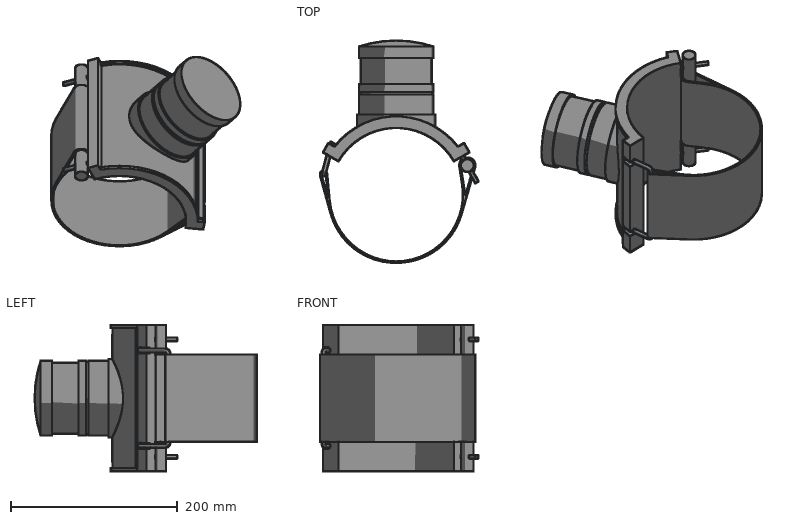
import cadquery as cq
import math

pipe_radius = 80.0
total_height = 176.0

saddle_radius = 92.0
rim_radius = 94.0
rim_height = 4.0
ear_angle = 30.0
ear_reach = 101.6
ear_thickness = 13.0
notch_height = 7.2
notch_floor = 94.2

collar_radius = 94.5 / 2
socket_radius = 90.0 / 2
neck_radius = 85.5 / 2
collar_top = 96.4
groove_center = 122.0
groove_radius = 1.5
socket_top = 132.6
cap_bottom = 164.0
cap_shoulder = 177.8
cap_peak = 185.18

strap_thickness = 2.0
strap_height = 105.0
strap_radius = pipe_radius + strap_thickness

rod_radius = 15.51 / 2
rod_along_ear = 91.4
rod_below_ear = 12.4
bolt_radius = 4.8 / 2
bolt_length = 35.6
bolt_level = 70.5

wire_radius = 5.0 / 2
wire_x = -87.147
wire_y = 24.3
wire_tilt = 14.8
wire_level = 57.3
wire_bend_radius = 4.8
bar_start = 93.4
bar_width = 6.6
bar_thickness = 3.0
bar_height = total_height - 2 * rim_height


def centered_prism(profile, height):
    """Extrude an XY profile equally above and below Z = 0."""
    return profile.extrude(height / 2, both=True)


def disc(radius, height, x=0.0, y=0.0):
    return centered_prism(cq.Workplane("XY").center(x, y).circle(radius), height)


def block_on_ear(along, across, width, thickness, height):
    """Block placed in right-ear coordinates: along the ear face, and across it."""
    block = cq.Workplane("XY").box(width, thickness, height, centered=(False, False, True))
    return block.translate((along, across, 0)).rotate((0, 0, 0), (0, 0, 1), ear_angle)


def right_ear_point(along, across):
    """XY position of a point given in right-ear coordinates."""
    angle = math.radians(ear_angle)
    x = along * math.cos(angle) - across * math.sin(angle)
    y = along * math.sin(angle) + across * math.cos(angle)
    return x, y


def polar(radius, angle):
    return radius * math.cos(angle), radius * math.sin(angle)


def arc_shell(outer_radius, height):
    """Part of a tube between the two ear faces, on the +Y side."""
    half_angle = math.radians(ear_angle)
    right_inner = polar(pipe_radius, half_angle)
    right_outer = polar(outer_radius, half_angle)
    profile = (
        cq.Workplane("XY")
        .moveTo(*right_inner)
        .lineTo(*right_outer)
        .threePointArc((0, outer_radius), (-right_outer[0], right_outer[1]))
        .lineTo(-right_inner[0], right_inner[1])
        .threePointArc((0, pipe_radius), right_inner)
        .close()
    )
    return centered_prism(profile, height)


def make_branch():
    """Solid stub turned about Y, with a round groove and a domed cap."""
    profile = (
        cq.Workplane("XY")
        .lineTo(collar_radius, 0)
        .lineTo(collar_radius, collar_top)
        .lineTo(socket_radius, collar_top)
        .lineTo(socket_radius, groove_center - groove_radius)
        .threePointArc(
            (socket_radius - groove_radius, groove_center),
            (socket_radius, groove_center + groove_radius),
        )
        .lineTo(socket_radius, socket_top)
        .lineTo(neck_radius, socket_top)
        .lineTo(neck_radius, cap_bottom)
        .lineTo(socket_radius, cap_bottom)
        .lineTo(socket_radius, cap_shoulder)
    )
    rise = cap_peak - cap_shoulder
    dome_radius = (socket_radius**2 + rise**2) / (2 * rise)
    half_way = socket_radius / 2
    half_way_y = cap_peak - dome_radius + math.sqrt(dome_radius**2 - half_way**2)
    profile = profile.threePointArc((half_way, half_way_y), (0, cap_peak)).close()
    branch = profile.revolve(360, (0, 0, 0), (0, 1, 0))
    return branch.cut(disc((pipe_radius + saddle_radius) / 2, total_height))


def make_saddle():
    saddle = arc_shell(saddle_radius, total_height)
    rim_offset = (total_height - rim_height) / 2
    for side in (-1, 1):
        rim = arc_shell(rim_radius, rim_height)
        saddle = saddle.union(rim.translate((0, 0, side * rim_offset)))

    ear_root = (pipe_radius + saddle_radius) / 2
    right_ear = block_on_ear(ear_root, 0, ear_reach - ear_root, ear_thickness, total_height)
    left_ear = right_ear.mirror("YZ")
    notch = block_on_ear(notch_floor, 0, ear_reach - notch_floor, ear_thickness, notch_height)
    for side in (-1, 1):
        left_ear = left_ear.cut(notch.mirror("YZ").translate((0, 0, side * wire_level)))
    return saddle.union(right_ear).union(left_ear).union(make_branch())


def strap_end(side, center, core_radius):
    """Points where the strap loops around a round core and leads back to itself.

    Both strands are tangent to the big pipe circle and to the loop. The end is
    worked out on the right (+X) and flipped for side = -1. Both the outline of
    the loop and the outline of the gap inside it run from the outer strand to the inner.
    """
    center_x, center_y = center[0] * side, center[1]
    distance = math.hypot(center_x, center_y)
    bearing = math.atan2(center_y, center_x)
    loop_radius = core_radius + strap_thickness
    inner_normal = bearing - math.acos((pipe_radius + loop_radius) / distance)
    outer_normal = bearing - math.acos((pipe_radius - core_radius) / distance)
    inner_side = inner_normal + math.pi
    loop_top = (outer_normal + inner_side) / 2

    def around_pipe(radius, angle):
        x, y = polar(radius, angle)
        return side * x, y

    def around_core(radius):
        arc = []
        for angle in (outer_normal, loop_top, inner_side):
            x, y = polar(radius, angle)
            arc.append((side * (center_x + x), center_y + y))
        return arc

    loop_outline = [
        around_pipe(strap_radius, outer_normal),
        *around_core(loop_radius),
        around_pipe(pipe_radius, inner_normal),
    ]
    spread = inner_normal - outer_normal
    corner_drop = (pipe_radius - strap_radius * math.cos(spread)) / math.sin(spread)
    corner_angle = inner_normal - math.atan(corner_drop / strap_radius)
    corner = around_pipe(math.hypot(strap_radius, corner_drop), corner_angle)
    gap_outline = [corner, *around_core(core_radius)]
    return loop_outline, gap_outline


def make_gap(gap_outline):
    """Wedge-shaped opening inside a strap end."""
    corner, outer_tip, top, inner_tip = gap_outline
    profile = cq.Workplane("XY").moveTo(*corner).lineTo(*outer_tip).threePointArc(top, inner_tip).close()
    return centered_prism(profile, strap_height)


def make_strap():
    rod_center = right_ear_point(rod_along_ear, -rod_below_ear)
    right_loop, right_gap = strap_end(1, rod_center, rod_radius)
    left_loop, left_gap = strap_end(-1, (wire_x, wire_y), wire_radius)
    right_outer_root, right_outer_tip, right_top, right_inner_tip, right_inner_root = right_loop
    left_outer_root, left_outer_tip, left_top, left_inner_tip, left_inner_root = left_loop
    profile = (
        cq.Workplane("XY")
        .moveTo(*left_outer_root)
        .threePointArc((0, -strap_radius), right_outer_root)
        .lineTo(*right_outer_tip)
        .threePointArc(right_top, right_inner_tip)
        .lineTo(*right_inner_root)
        .threePointArc((0, -pipe_radius), left_inner_root)
        .lineTo(*left_inner_tip)
        .threePointArc(left_top, left_outer_tip)
        .close()
    )
    return centered_prism(profile, strap_height).cut(make_gap(right_gap)).cut(make_gap(left_gap))


def make_rod_with_bolts():
    rod_x, rod_y = right_ear_point(rod_along_ear, -rod_below_ear)
    rod = disc(rod_radius, total_height, rod_x, rod_y)
    bolt_x, bolt_y = right_ear_point(rod_along_ear, 0)
    away = right_ear_point(0, -1)
    for level in (-bolt_level, bolt_level):
        bolt = cq.Solid.makeCylinder(
            bolt_radius, bolt_length, cq.Vector(bolt_x, bolt_y, level), cq.Vector(*away, 0)
        )
        rod = rod.union(cq.Workplane(bolt))
    return rod


def make_wire():
    """U-shaped wire whose two legs end inside the anchor bar behind the left ear."""
    tilt = math.radians(wire_tilt)
    leg_plane = cq.Plane(
        origin=(wire_x, wire_y, 0),
        xDir=(math.sin(tilt), math.cos(tilt), 0),
        normal=(math.cos(tilt), -math.sin(tilt), 0),
    )
    angle = math.radians(ear_angle)
    start_across = wire_x * math.sin(angle) + wire_y * math.cos(angle)
    bar_middle = ear_thickness + bar_thickness / 2
    leg_length = (bar_middle - start_across) / math.cos(angle - tilt)

    bend_start = wire_level - wire_bend_radius
    bend_inset = wire_bend_radius * (1 - math.sqrt(0.5))
    path = (
        cq.Workplane(leg_plane)
        .moveTo(leg_length, -wire_level)
        .lineTo(wire_bend_radius, -wire_level)
        .threePointArc((bend_inset, bend_inset - wire_level), (0, -bend_start))
        .lineTo(0, bend_start)
        .threePointArc((bend_inset, wire_level - bend_inset), (wire_bend_radius, wire_level))
        .lineTo(leg_length, wire_level)
    )
    section_plane = cq.Plane(
        origin=leg_plane.toWorldCoords((leg_length, -wire_level, 0)),
        xDir=(0, 0, 1),
        normal=leg_plane.xDir,
    )
    wire = cq.Workplane(section_plane).circle(wire_radius).sweep(path)
    bar = block_on_ear(bar_start, ear_thickness, bar_width, bar_thickness, bar_height)
    return wire.union(bar.mirror("YZ"))


def make_clamp():
    return make_strap().union(make_rod_with_bolts()).union(make_wire())


clamp = make_clamp()
saddle = make_saddle().cut(clamp)

result = cq.Compound.makeCompound([*saddle.solids().vals(), *clamp.solids().vals()])